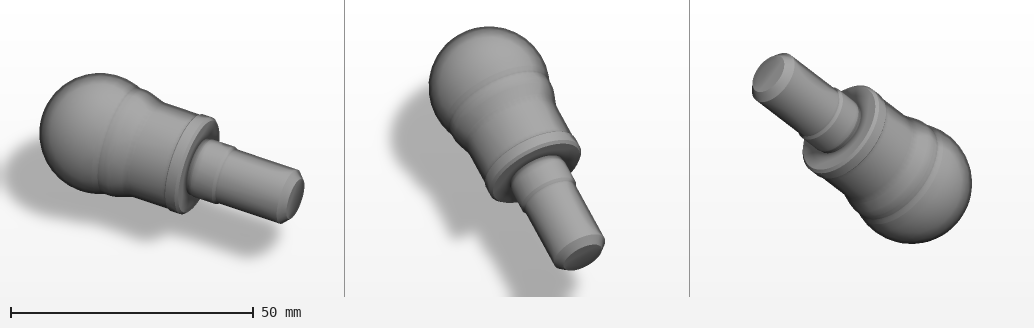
import cadquery as cq
import math


total_length = 57.0
ball_tip_x = -total_length / 2
stud_end_x = total_length / 2
knob_length = 35.0
knob_base_x = ball_tip_x + knob_length

ball_radius = 25.0 / 2
ball_centre_x = ball_tip_x + ball_radius
ball_end_x = ball_centre_x + 3.7

waist_radius = 23.0 / 2
waist_end_x = ball_tip_x + 18.6
waist_cone_angle = math.radians(20.0)

barrel_radius = 20.5 / 2
shoulder_angle = math.radians(18.0)
blend_radius = 5.0

flange_radius = 21.0 / 2
flange_width = 2.95
flange_front_chamfer = flange_radius - barrel_radius
flange_base_chamfer = 0.55

neck_radius = 12.1 / 2
neck_length = 0.45
collar_radius = 12.5 / 2
collar_lead_in = 0.65
collar_end = 5.9
collar_taper = 0.7
thread_radius = 11.75 / 2
tip_chamfer = 1.5


def revolve_about_x(outline):
    """Turn a closed half-outline through a full circle about the X axis."""
    return outline.close().revolve(360, (0, 0, 0), (1, 0, 0))


def make_knob():
    ball_end_angle = math.acos((ball_end_x - ball_centre_x) / ball_radius)
    ball_middle_angle = (math.pi + ball_end_angle) / 2
    ball_middle_x = ball_centre_x + ball_radius * math.cos(ball_middle_angle)
    ball_middle_radius = ball_radius * math.sin(ball_middle_angle)
    ball_end_radius = ball_radius * math.sin(ball_end_angle)

    waist_start_x = ball_end_x + (ball_end_radius - waist_radius) / math.tan(waist_cone_angle)

    blend_run = blend_radius * math.sin(shoulder_angle)
    blend_drop = blend_radius * (1 - math.cos(shoulder_angle))
    half_run = blend_radius * math.sin(shoulder_angle / 2)
    half_drop = blend_radius * (1 - math.cos(shoulder_angle / 2))
    cone_drop = waist_radius - barrel_radius - 2 * blend_drop
    cone_run = cone_drop / math.tan(shoulder_angle)
    cone_start_x = waist_end_x + blend_run
    cone_end_x = cone_start_x + cone_run
    barrel_start_x = cone_end_x + blend_run

    flange_start_x = knob_base_x - flange_width

    outline = (
        cq.Workplane("XY")
        .moveTo(ball_tip_x, 0)
        .threePointArc((ball_middle_x, ball_middle_radius), (ball_end_x, ball_end_radius))
        .lineTo(waist_start_x, waist_radius)
        .lineTo(waist_end_x, waist_radius)
        .threePointArc(
            (waist_end_x + half_run, waist_radius - half_drop),
            (cone_start_x, waist_radius - blend_drop),
        )
        .lineTo(cone_end_x, barrel_radius + blend_drop)
        .threePointArc(
            (barrel_start_x - half_run, barrel_radius + half_drop),
            (barrel_start_x, barrel_radius),
        )
        .lineTo(flange_start_x, barrel_radius)
        .lineTo(flange_start_x + flange_front_chamfer, flange_radius)
        .lineTo(knob_base_x - flange_base_chamfer, flange_radius)
        .lineTo(knob_base_x, flange_radius - flange_base_chamfer)
        .lineTo(knob_base_x, 0)
    )
    return revolve_about_x(outline)


def make_stud():
    neck_end_x = knob_base_x + neck_length
    collar_end_x = knob_base_x + collar_end
    outline = (
        cq.Workplane("XY")
        .moveTo(knob_base_x, 0)
        .lineTo(knob_base_x, neck_radius)
        .lineTo(neck_end_x, neck_radius)
        .lineTo(neck_end_x + collar_lead_in, collar_radius)
        .lineTo(collar_end_x, collar_radius)
        .lineTo(collar_end_x + collar_taper, thread_radius)
        .lineTo(stud_end_x - tip_chamfer, thread_radius)
        .lineTo(stud_end_x, thread_radius - tip_chamfer)
        .lineTo(stud_end_x, 0)
    )
    return revolve_about_x(outline)


knob = make_knob()
stud = make_stud()

result = cq.Compound.makeCompound([knob.val(), stud.val()])